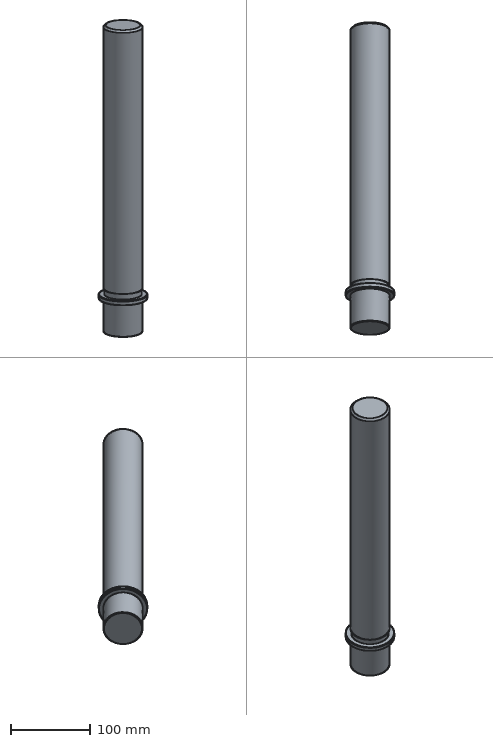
import cadquery as cq

total_height = 405.0
pin_diameter = 50.0
neck_diameter = 47.8
collar_diameter = 62.0
shank_height = 43.7
collar_thickness = 6.0
neck_height = 7.3
top_chamfer = 3.0
bottom_chamfer = 1.0
collar_chamfer = 1.0

collar_top = shank_height + collar_thickness
neck_top = collar_top + neck_height


def cylinder(diameter, bottom, top):
    """Cylinder about the Z axis between two heights."""
    return cq.Workplane("XY").workplane(offset=bottom).circle(diameter / 2).extrude(top - bottom)


shank = cylinder(pin_diameter, 0, shank_height).faces("<Z").chamfer(bottom_chamfer)

collar = cylinder(collar_diameter, shank_height, collar_top).edges().chamfer(collar_chamfer)

neck = cylinder(neck_diameter, collar_top, neck_top)

pin = cylinder(pin_diameter, neck_top, total_height).faces(">Z").chamfer(top_chamfer)

result = shank.union(collar).union(neck).union(pin)